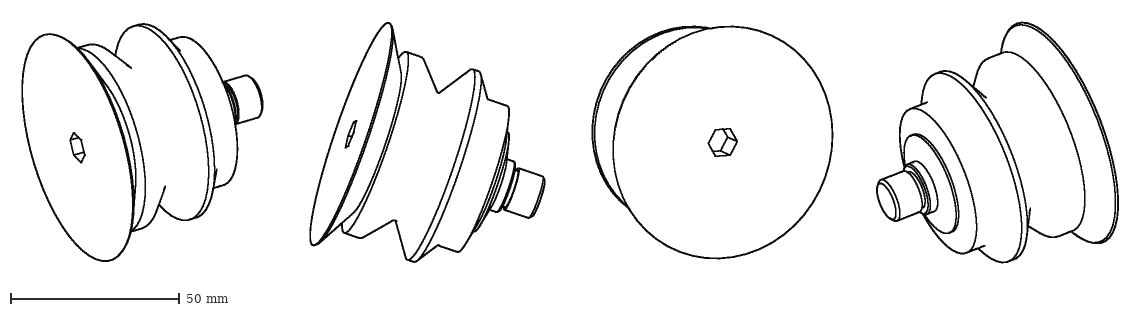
import cadquery as cq
import math

overall_length = 59.43

lip_radius = 70 / 2
lip_top_radius = 34.5
lip_thickness = 0.65
lip_cone_top_radius = 22.5

rim_radius = 57 / 2
rim_bottom = 7.7
rim_corner = 12.75

fold_radius = 60 / 2
fold_bottom = 28.25
fold_width = 2.0
fold_cone_angle = math.radians(35)
rim_cone_angle = math.radians(42)
bellows_fillet = 1.0

body_radius = 46 / 2
body_top = 41.7
step_radius = 31.2 / 2
step_bottom = 43.6
step_top = 44.45

collar_radius = 16 / 2
collar_height = 3.0
collar_chamfer = 0.5
undercut_radius = 11.45 / 2
undercut_width = 1.5
stud_radius = 13.16 / 2
stud_length = 10.0
stud_chamfer = stud_radius - undercut_radius

socket_across_flats = 8.0
socket_depth = 8.0

collar_top = overall_length - stud_length
collar_bottom = collar_top - collar_height
undercut_top = collar_top + undercut_width
fold_top = fold_bottom + fold_width
fold_slope = math.tan(fold_cone_angle)
rim_slope = math.tan(rim_cone_angle)
body_bottom = fold_top + fold_slope * (fold_radius - body_radius)

neck_radius = (
    rim_corner + rim_slope * rim_radius - fold_bottom + fold_slope * fold_radius
) / (fold_slope + rim_slope)
neck_height = fold_bottom - fold_slope * (fold_radius - neck_radius)


def turned_body():
    """Revolve the outer profile, given as (radius, height along Y), about the Y axis."""
    profile = [
        (0, 0),
        (lip_radius, 0),
        (lip_top_radius, lip_thickness),
        (lip_cone_top_radius, rim_bottom),
        (rim_radius, rim_bottom),
        (rim_radius, rim_corner),
        (neck_radius, neck_height),
        (fold_radius, fold_bottom),
        (fold_radius, fold_top),
        (body_radius, body_bottom),
        (body_radius, body_top),
        (step_radius, step_bottom),
        (step_radius, step_top),
        (collar_radius, collar_bottom),
        (collar_radius, collar_top - collar_chamfer),
        (collar_radius - collar_chamfer, collar_top),
        (undercut_radius, collar_top),
        (undercut_radius, undercut_top),
        (stud_radius, undercut_top),
        (stud_radius, overall_length - stud_chamfer),
        (stud_radius - stud_chamfer, overall_length),
        (0, overall_length),
    ]
    return cq.Workplane("XY").polyline(profile).close().revolve(360, (0, 0, 0), (0, 1, 0))


def round_edge(body, height):
    """Fillet the circular edge that lies at the given height along Y."""
    margin = 0.1
    reach = 2 * lip_radius
    edge_band = cq.selectors.BoxSelector(
        (-reach, height - margin, -reach),
        (reach, height + margin, reach),
    )
    return body.edges("%CIRCLE").edges(edge_band).fillet(bellows_fillet)


def hex_socket():
    """Hexagonal prism with two corners on the X axis, running from the sealing face toward +Y."""
    across_corners = socket_across_flats / math.cos(math.pi / 6)
    return cq.Workplane("XZ").polygon(6, across_corners).extrude(-socket_depth)


result = turned_body()
for corner_height in (rim_corner, neck_height, body_bottom):
    result = round_edge(result, corner_height)
result = result.cut(hex_socket())